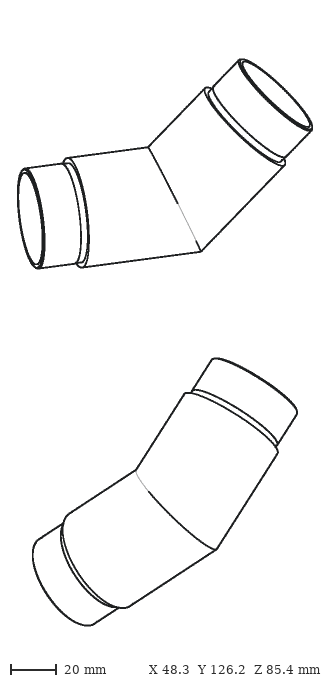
import cadquery as cq

bend_angle = 45.0
body_diameter = 48.3
spigot_diameter = 44.2
groove_diameter = 43.8
bore_diameter = 40.3
leg_length = 65.0
spigot_length = 20.0
groove_width = 3.0
end_chamfer = 0.5

body_length = leg_length - spigot_length
overrun = body_diameter


def leg_outside():
    """Stepped outside of a leg along -Y, with the bend centre at the origin."""
    body_radius = body_diameter / 2
    groove_radius = groove_diameter / 2
    spigot_radius = spigot_diameter / 2
    groove_end = body_length + groove_width
    profile = (
        cq.Workplane("XY")
        .moveTo(0, overrun)
        .lineTo(body_radius, overrun)
        .lineTo(body_radius, -body_length)
        .lineTo(groove_radius, -body_length)
        .lineTo(groove_radius, -groove_end)
        .lineTo(spigot_radius, -groove_end)
        .lineTo(spigot_radius, end_chamfer - leg_length)
        .lineTo(spigot_radius - end_chamfer, -leg_length)
        .lineTo(0, -leg_length)
        .close()
    )
    return profile.revolve(360, (0, 0, 0), (0, 1, 0))


def leg_bore():
    """Cylinder that hollows a leg from its open end past the bend centre."""
    return (
        cq.Workplane("XZ", origin=(0, overrun, 0))
        .circle(bore_diameter / 2)
        .extrude(leg_length + overrun)
    )


def mitred_leg():
    """Hollow leg along -Y, cut off at the plane that halves the bend."""
    block_size = 4 * leg_length
    keep_side = (
        cq.Workplane("XY")
        .box(block_size, block_size, block_size)
        .translate((0, -block_size / 2, 0))
        .rotate((0, 0, 0), (1, 0, 0), bend_angle / 2)
    )
    return leg_outside().cut(leg_bore()).intersect(keep_side)


level_leg = mitred_leg()
rising_leg = level_leg.mirror("XZ").rotate((0, 0, 0), (1, 0, 0), bend_angle)

result = level_leg.union(rising_leg)